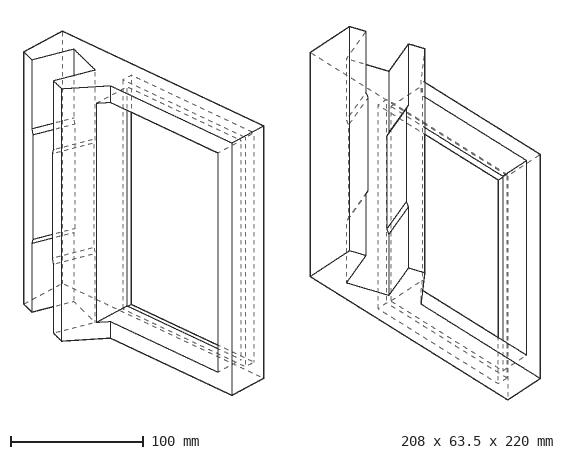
import cadquery as cq
import math

width = 208.0
depth = 63.5
height = 220.0

frame_depth = 35.2
frame_border = 14.5
window_left = 75.7
rebate_offset = 4.5
rebate_depth = 9.5

tilt = math.radians(19.6)
jaw_width = 13.6
slot_width = 35.2
slot_depth = 35.5
bend_x = 82.5

pad_height = 1.8
pad_base_length = 99.9
pad_top_length = 91.0

clamp_width = 2 * jaw_width + slot_width
tip_x = clamp_width * math.cos(tilt)
left_depth = depth - clamp_width * math.sin(tilt)


def clamp_point(across, inward):
    """XY point measured along the tilted jaw face and inward, square to it."""
    x = across * math.cos(tilt) + inward * math.sin(tilt)
    y = -left_depth - across * math.sin(tilt) + inward * math.cos(tilt)
    return x, y


def make_body():
    slot_left = jaw_width
    slot_right = jaw_width + slot_width
    outline = [
        (0, 0),
        (0, -left_depth),
        clamp_point(slot_left, 0),
        clamp_point(slot_left, slot_depth),
        clamp_point(slot_right, slot_depth),
        clamp_point(slot_right, 0),
        (tip_x, -depth),
        (bend_x, -frame_depth),
        (width, -frame_depth),
        (width, 0),
    ]
    return cq.Workplane("XY").polyline(outline).close().extrude(height / 2, both=True)


def make_window():
    """Through opening with a wider rebate around its back edge."""
    opening_width = width - frame_border - window_left
    opening_height = height - 2 * frame_border
    opening = cq.Workplane("XY").box(
        opening_width, depth, opening_height, centered=(False, False, True)
    ).translate((window_left, -depth, 0))
    rebate = cq.Workplane("XY").box(
        opening_width + 2 * rebate_offset,
        rebate_depth,
        opening_height + 2 * rebate_offset,
        centered=(False, False, True),
    ).translate((window_left - rebate_offset, -rebate_depth, 0))
    return opening.union(rebate)


def make_pad(wall_across, direction):
    """Trapezoid pad on one slot wall; direction is +1 or -1, toward the slot centre."""
    origin_x, origin_y = clamp_point(wall_across, 0)
    wall_plane = cq.Plane(
        origin=(origin_x, origin_y, 0),
        xDir=(direction * math.cos(tilt), -direction * math.sin(tilt), 0),
        normal=(math.sin(tilt), math.cos(tilt), 0),
    )
    profile = [
        (0, -pad_base_length / 2),
        (pad_height, -pad_top_length / 2),
        (pad_height, pad_top_length / 2),
        (0, pad_base_length / 2),
    ]
    return cq.Workplane(wall_plane).polyline(profile).close().extrude(slot_depth)


left_pad = make_pad(jaw_width, 1)
right_pad = make_pad(jaw_width + slot_width, -1)
result = make_body().cut(make_window()).union(left_pad).union(right_pad)